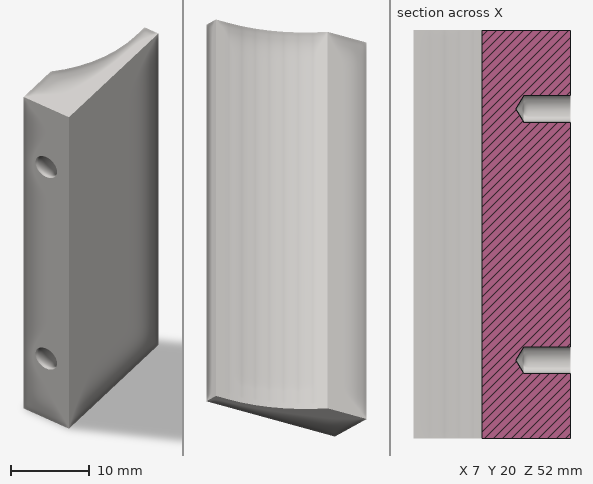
import cadquery as cq
import math

width = 7.0
depth = 20.0
height = 52.0

block_depth = 6.1
lip_thickness = 2.15
lip_depth = 2.1

hole_diameter = 3.35
hole_depth = 6.0
hole_spacing = 32.0
drill_point_angle = 118.0


def make_body():
    """Extruded profile whose concave arc is tangent to the lip."""
    lip_x = width - lip_thickness
    lip_y = depth - lip_depth
    sweep_y = lip_y - block_depth
    radius = (lip_x**2 + sweep_y**2) / (2 * lip_x)
    half_angle = math.asin(sweep_y / radius) / 2
    arc_middle = (
        lip_x - radius * (1 - math.cos(half_angle)),
        lip_y - radius * math.sin(half_angle),
    )
    return (
        cq.Workplane("XY")
        .moveTo(0, 0)
        .lineTo(width, 0)
        .lineTo(width, depth)
        .lineTo(lip_x, depth)
        .lineTo(lip_x, lip_y)
        .threePointArc(arc_middle, (0, block_depth))
        .close()
        .extrude(height)
    )


def make_hole(z):
    """Drilled hole with a conical end, entering the front face at height z."""
    radius = hole_diameter / 2
    point_length = radius / math.tan(math.radians(drill_point_angle / 2))
    return (
        cq.Workplane("XY")
        .polyline([
            (0, 0),
            (radius, 0),
            (radius, hole_depth),
            (0, hole_depth + point_length),
        ])
        .close()
        .revolve(360, (0, 0), (0, 1))
        .translate((width / 2, 0, z))
    )


result = make_body()
for side in (-1, 1):
    result = result.cut(make_hole(height / 2 + side * hole_spacing / 2))